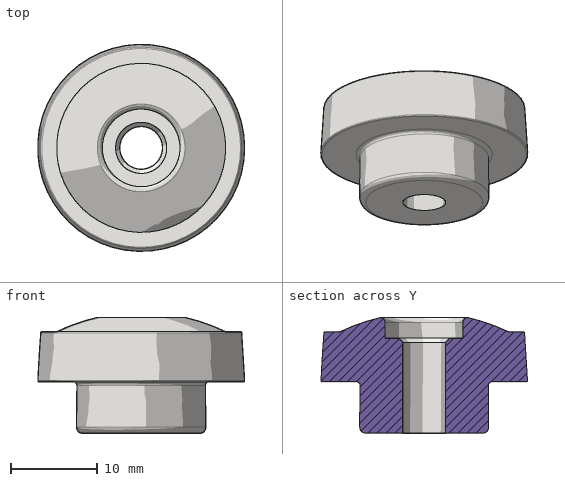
import cadquery as cq
import math

total_height = 13.45
flange_bottom = 5.98
flange_top = 11.78

hub_bottom_fillet = 0.72
hub_neck_fillet = 0.43
flange_edge_fillet = 0.15

outer_diameter = 24.0
flange_draft = math.radians(3.5)
hub_draft = math.radians(0.5)
hub_radius = 7.5
hub_neck_radius = hub_radius - flange_bottom * math.tan(hub_draft)
flange_bottom_radius = outer_diameter / 2 + flange_edge_fillet * (
    math.tan(flange_draft) + 1 / math.cos(flange_draft) - 1
)
flange_top_radius = flange_bottom_radius - (flange_top - flange_bottom) * math.tan(flange_draft)
dome_base_radius = 9.8
dome_top_radius = 5.1

bore_diameter = 4.92
bore_chamfer = 0.5
counterbore_diameter = 9.0
counterbore_depth = 2.4
rim_land = 0.012

dome_center_z = (
    total_height**2 + dome_top_radius**2 - flange_top**2 - dome_base_radius**2
) / (2 * (total_height - flange_top))
dome_sphere_radius = math.hypot(dome_base_radius, flange_top - dome_center_z)
dome_mid_radius = (dome_base_radius + dome_top_radius) / 2
dome_mid_z = dome_center_z + math.sqrt(dome_sphere_radius**2 - dome_mid_radius**2)


def edge_at(radius, height):
    """Select a circular edge by its radius and height."""
    probe = 0.002
    return cq.selectors.BoxSelector(
        (-radius - probe, -radius - probe, height - probe),
        (radius + probe, radius + probe, height + probe),
        boundingbox=True,
    ) - cq.selectors.BoxSelector(
        (-radius + probe, -radius + probe, height - probe),
        (radius - probe, radius - probe, height + probe),
        boundingbox=True,
    )


def make_body():
    """Revolve the hub, tapered flange and dome, then round the outer edges."""
    body = (
        cq.Workplane("XZ")
        .lineTo(hub_radius, 0)
        .lineTo(hub_neck_radius, flange_bottom)
        .lineTo(flange_bottom_radius, flange_bottom)
        .lineTo(flange_top_radius, flange_top)
        .lineTo(dome_base_radius, flange_top)
        .threePointArc((dome_mid_radius, dome_mid_z), (dome_top_radius, total_height))
        .lineTo(0, total_height)
        .close()
        .revolve(360, (0, 0, 0), (0, 1, 0))
    )
    body = body.edges(edge_at(hub_radius, 0)).fillet(hub_bottom_fillet)
    body = body.edges(edge_at(hub_neck_radius, flange_bottom)).fillet(hub_neck_fillet)
    body = body.edges(edge_at(flange_bottom_radius, flange_bottom)).fillet(flange_edge_fillet)
    return body.edges(edge_at(flange_top_radius, flange_top)).fillet(flange_edge_fillet)


def cut_bore(body):
    """Cut the rounded counterbore and the chamfered through bore."""
    counterbore_floor = total_height - counterbore_depth
    rim_fillet = dome_top_radius - counterbore_diameter / 2 - rim_land
    body = body.faces(">Z").workplane().hole(counterbore_diameter, counterbore_depth)
    body = body.edges(edge_at(counterbore_diameter / 2, total_height)).fillet(rim_fillet)
    bore = cq.Workplane("XY").circle(bore_diameter / 2).extrude(total_height)
    body = body.cut(bore)
    return body.edges(edge_at(bore_diameter / 2, counterbore_floor)).chamfer(bore_chamfer)


result = cut_bore(make_body())